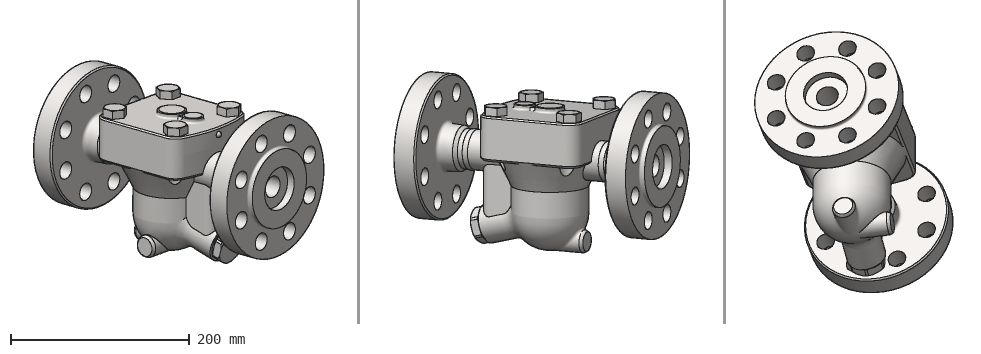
import cadquery as cq
import math


half_length = 150.0
raised_face_height = 6.0
raised_face_dia = 92.0
raised_face_fillet = 1.95
flange_dia = 165.0
flange_thickness = 26.5
flange_chamfer = 1.8
hub_fillet = 3.5
hub_dia = 54.0
hub_end_dia = 52.2
hub_end = 98.5
pipe_dia = 46.0
taper_end = 94.0
weld_outer = 88.0
weld_inner = 81.3
weld_height = 0.75
bolt_hole_dia = 20.0
bolt_circle_dia = 125.0
bolt_hole_count = 8
socket_dia = 50.0
socket_depth = 10.0
bore_dia = 25.0
bore_depth = 48.0

body_x = -10.2
bolt_offset = 45.3
corner_radius = 17.0
bulge_apex_x = 59.0
body_bottom = 0.5
parting_z = 30.0
cover_top = 52.0
cover_edge_chamfer = 1.8
body_edge_chamfer = 2.7
body_taper = 1.8

bolt_head_height = 10.0
bolt_head_flats = 24.3
bolt_head_turned_dia = 28.5
bolt_head_face_dia = 24.0
bolt_head_chamfer = 1.0
main_boss_dia = 33.0
side_boss_dia = 24.0
side_boss_spacing = 31.5
boss_height = 6.0
boss_rim_width = 1.8
boss_rim_height = 0.5
boss_root_fillet = 2.7
web_width = 13.5
web_height = 3.3
pip_z = 43.8
pip_dia = 7.2

bowl_radius = 43.8
bowl_center_z = -62.7
neck_bottom = -32.7
neck_mid_z = -19.5
neck_mid_radius = 50.0
neck_top_z = 2.5
neck_top_radius = 61.5
notch_radius = 10.5
notch_depth = 24.0

rib_width = 40.2
rib_end_x = 67.2
rib_corner_radius = 11.7
rib_bottom = -73.5
branch_tilt = 15.0
branch_dia = 44.0
branch_root_fillet = 19.5
branch_length = 79.8
seal_dia = 38.0
seal_thickness = 1.8
plug_length = 10.2
plug_flats = 37.2
plug_turned_dia = 41.5
plug_face_dia = 38.0
plug_chamfer = 1.5

drain_z = -93.3
drain_length = 46.2
drain_dia = 26.0
drain_neck_dia = 24.0
drain_face_dia = 22.0
drain_cone = 2.5
drain_rim = 1.5
drain_root_fillet = 3.5

arc_dip = 1 - math.sqrt(0.5)


def hex_head(flats, height, turned_dia, face_dia, chamfer):
    """Hexagonal head standing on z = 0, one corner toward +X, with turned corners and top chamfer."""
    corners = flats / math.cos(math.pi / 6)
    rim = turned_dia / 2
    turned = (
        cq.Workplane("XZ")
        .polyline([(0, 0), (rim, 0), (rim, height - chamfer), (face_dia / 2, height), (0, height)])
        .close()
        .revolve(360, (0, 0, 0), (0, 1, 0))
    )
    return cq.Workplane("XY").polygon(6, corners).extrude(height).intersect(turned)


def pipe_end():
    """Flange, hub and pipe on the +X side, drilled and bored."""
    flange_front = half_length - raised_face_height
    flange_back = flange_front - flange_thickness
    weld_middle = (weld_outer + weld_inner) / 2
    pipe_r = pipe_dia / 2
    hub_r = hub_dia / 2
    arc_mid = hub_fillet * arc_dip
    face_r = raised_face_dia / 2
    face_sink = raised_face_fillet * arc_dip
    face_root = flange_front + raised_face_fillet
    shell = (
        cq.Workplane("XY")
        .moveTo(body_x, 0)
        .lineTo(body_x, pipe_r)
        .lineTo(weld_inner, pipe_r)
        .threePointArc((weld_middle, pipe_r + weld_height), (weld_outer, pipe_r))
        .lineTo(taper_end, pipe_r)
        .lineTo(hub_end, hub_end_dia / 2)
        .lineTo(flange_back - hub_fillet, hub_r)
        .threePointArc((flange_back - arc_mid, hub_r + arc_mid), (flange_back, hub_r + hub_fillet))
        .lineTo(flange_back, flange_dia / 2 - flange_chamfer)
        .lineTo(flange_back + flange_chamfer, flange_dia / 2)
        .lineTo(flange_front, flange_dia / 2)
        .lineTo(flange_front, face_r + raised_face_fillet)
        .threePointArc((flange_front + face_sink, face_r + face_sink), (face_root, face_r))
        .lineTo(half_length, face_r)
        .lineTo(half_length, 0)
        .close()
        .revolve(360, (0, 0, 0), (1, 0, 0))
    )
    face = cq.Workplane("YZ", origin=(half_length, 0, 0))
    bolt_holes = (
        face.polarArray(bolt_circle_dia / 2, 180 / bolt_hole_count, 360, bolt_hole_count)
        .circle(bolt_hole_dia / 2)
        .extrude(flange_back - half_length)
    )
    socket = face.circle(socket_dia / 2).extrude(-socket_depth)
    bore = face.circle(bore_dia / 2).extrude(-bore_depth)
    return shell.cut(bolt_holes).cut(socket).cut(bore)


bolt_x = body_x + bolt_offset
apex_reach = bulge_apex_x - bolt_x
bulge_radius = (apex_reach**2 + bolt_offset**2 - corner_radius**2) / (2 * (apex_reach - corner_radius))
bulge_angle = math.asin(bolt_offset / (bulge_radius - corner_radius))


def outline(z, apex_x):
    """Wire of a square with rounded corners whose +X side bulges out to apex_x."""
    half = bolt_offset + corner_radius
    left = body_x - half
    left_x = body_x - bolt_offset
    diagonal = corner_radius * math.sqrt(0.5)
    mid_angle = (bulge_angle + math.pi / 2) / 2
    mid_x = bolt_x + corner_radius * math.cos(mid_angle)
    mid_y = bolt_offset + corner_radius * math.sin(mid_angle)
    tangent_x = bolt_x + corner_radius * math.cos(bulge_angle)
    tangent_y = bolt_offset + corner_radius * math.sin(bulge_angle)
    return (
        cq.Workplane("XY", origin=(0, 0, z))
        .moveTo(left_x, -half)
        .lineTo(bolt_x, -half)
        .threePointArc((mid_x, -mid_y), (tangent_x, -tangent_y))
        .threePointArc((apex_x, 0), (tangent_x, tangent_y))
        .threePointArc((mid_x, mid_y), (bolt_x, half))
        .lineTo(left_x, half)
        .threePointArc((left_x - diagonal, bolt_offset + diagonal), (left, bolt_offset))
        .lineTo(left, -bolt_offset)
        .threePointArc((left_x - diagonal, -bolt_offset - diagonal), (left_x, -half))
        .close()
    )


def body_block():
    """Lower block whose bulge narrows downward, with a chamfered lower rim."""
    lower = outline(body_bottom, bulge_apex_x - body_taper).val()
    upper = outline(parting_z, bulge_apex_x).val()
    block = cq.Workplane(cq.Solid.makeLoft([lower, upper], True))
    return block.faces("<Z").chamfer(body_edge_chamfer)


def cover():
    """Upper plate with its joined bosses and the pip on the bulged side."""
    plate = (
        outline(parting_z, bulge_apex_x)
        .extrude(cover_top - parting_z)
        .faces(">Z")
        .chamfer(cover_edge_chamfer)
    )
    root_mid = boss_root_fillet * arc_dip

    def boss(x, dia):
        root = dia / 2 + boss_root_fillet
        return (
            cq.Workplane("XZ", origin=(body_x + x, 0, cover_top))
            .moveTo(0, 0)
            .lineTo(root, 0)
            .threePointArc((dia / 2 + root_mid, root_mid), (dia / 2, boss_root_fillet))
            .lineTo(dia / 2, boss_height - boss_rim_height)
            .lineTo(dia / 2 - boss_rim_width, boss_height)
            .lineTo(0, boss_height)
            .close()
            .revolve(360, (0, 0, 0), (0, 1, 0))
        )

    web_half = web_width / 2
    web_root = web_half + boss_root_fillet
    web = (
        cq.Workplane("YZ", origin=(body_x, 0, cover_top))
        .moveTo(-web_root, 0)
        .lineTo(web_root, 0)
        .threePointArc((web_half + root_mid, root_mid), (web_half, boss_root_fillet))
        .lineTo(web_half, web_height)
        .lineTo(-web_half, web_height)
        .lineTo(-web_half, boss_root_fillet)
        .threePointArc((-web_half - root_mid, root_mid), (-web_root, 0))
        .close()
        .extrude(side_boss_spacing)
    )
    pip = cq.Workplane("XY").sphere(pip_dia / 2).translate((bulge_apex_x, 0, pip_z))
    return (
        plate.union(web)
        .union(boss(0, main_boss_dia))
        .union(boss(side_boss_spacing, side_boss_dia))
        .union(pip)
    )


def neck_and_bowl():
    """Flared neck on a round bowl, relieved beneath the four cover bolts."""
    bowl_bottom = bowl_center_z - bowl_radius
    diagonal = bowl_radius * math.sqrt(0.5)
    bowl = (
        cq.Workplane("XZ", origin=(body_x, 0, 0))
        .moveTo(0, bowl_bottom)
        .threePointArc((diagonal, bowl_center_z - diagonal), (bowl_radius, bowl_center_z))
        .lineTo(bowl_radius, neck_bottom)
        .lineTo(neck_mid_radius, neck_mid_z)
        .lineTo(neck_top_radius, neck_top_z)
        .lineTo(0, neck_top_z)
        .close()
        .revolve(360, (0, 0, 0), (0, 1, 0))
    )
    notches = (
        cq.Workplane("XY", origin=(body_x, 0, body_bottom))
        .rect(2 * bolt_offset, 2 * bolt_offset, forConstruction=True)
        .vertices()
        .circle(notch_radius)
        .extrude(-notch_depth)
    )
    return bowl.cut(notches)


def rib():
    """Upright web between the outlet pipe and the plug branch."""
    length = rib_end_x - body_x
    return (
        cq.Workplane("XY", origin=(body_x, 0, rib_bottom))
        .center(length / 2, 0)
        .rect(length, rib_width)
        .extrude(-rib_bottom)
        .edges("|Z and >X")
        .fillet(rib_corner_radius)
    )


def plug_branch():
    """Branch blended into the bowl, closed by a seal ring and a hexagonal plug."""
    radius = branch_dia / 2
    reach = bowl_radius + branch_root_fillet
    blend_r = radius + branch_root_fillet
    blend_z = math.sqrt(reach**2 - blend_r**2)
    root_r = blend_r * bowl_radius / reach
    root_z = blend_z * bowl_radius / reach
    mid_angle = math.atan2(blend_z, blend_r) / 2
    mid_r = blend_r - branch_root_fillet * math.cos(mid_angle)
    mid_z = blend_z - branch_root_fillet * math.sin(mid_angle)
    seal_end = branch_length + seal_thickness
    branch = (
        cq.Workplane("XZ")
        .moveTo(0, 0)
        .lineTo(root_r, root_z)
        .threePointArc((mid_r, mid_z), (radius, blend_z))
        .lineTo(radius, branch_length)
        .lineTo(seal_dia / 2, branch_length)
        .lineTo(seal_dia / 2, seal_end)
        .lineTo(0, seal_end)
        .close()
        .revolve(360, (0, 0, 0), (0, 1, 0))
    )
    plug = hex_head(plug_flats, plug_length, plug_turned_dia, plug_face_dia, plug_chamfer)
    return (
        branch.union(plug.translate((0, 0, seal_end)))
        .rotate((0, 0, 0), (0, 1, 0), 90 + branch_tilt)
        .translate((body_x, 0, bowl_center_z))
    )


def drain_boss():
    """Drain boss pointing along -Y, stepped down toward its face."""
    cone_start = drain_length - drain_rim - drain_cone
    return (
        cq.Workplane("XY", origin=(body_x, 0, drain_z))
        .polyline(
            [
                (0, 0),
                (drain_dia / 2, 0),
                (drain_dia / 2, -cone_start),
                (drain_neck_dia / 2, -cone_start - drain_cone),
                (drain_face_dia / 2, -drain_length),
                (0, -drain_length),
            ]
        )
        .close()
        .revolve(360, (0, 0, 0), (0, 1, 0))
    )


def cover_bolts():
    """Four bolt heads; diagonal neighbours share the same hexagon orientation."""
    head = hex_head(
        bolt_head_flats, bolt_head_height, bolt_head_turned_dia, bolt_head_face_dia, bolt_head_chamfer
    )
    heads = []
    for side_x in (-1, 1):
        for side_y in (-1, 1):
            turn = 30 if side_x != side_y else 0
            place = (body_x + side_x * bolt_offset, side_y * bolt_offset, cover_top)
            heads.append(head.rotate((0, 0, 0), (0, 0, 1), turn).translate(place))
    return heads


def bowl_with_drains():
    """Neck and bowl with two drain bosses; the -X one has a filleted root."""
    front_drain = drain_boss()
    inlet_drain = front_drain.rotate((body_x, 0, 0), (body_x, 0, 1), -90)
    below_bowl = (body_x - drain_length, -drain_length, bowl_center_z - bowl_radius)
    root = cq.selectors.BoxSelector(below_bowl, (body_x, drain_length, bowl_center_z))
    joined = neck_and_bowl().union(inlet_drain)
    return joined.edges("%BSPLINE").edges(root).fillet(drain_root_fillet).union(front_drain)


result = bowl_with_drains()
for piece in [body_block(), pipe_end(), pipe_end().mirror("YZ"), rib(), plug_branch()]:
    result = result.union(piece)
result = result.union(cover(), clean=False)
for bolt in cover_bolts():
    result = result.union(bolt, clean=False)